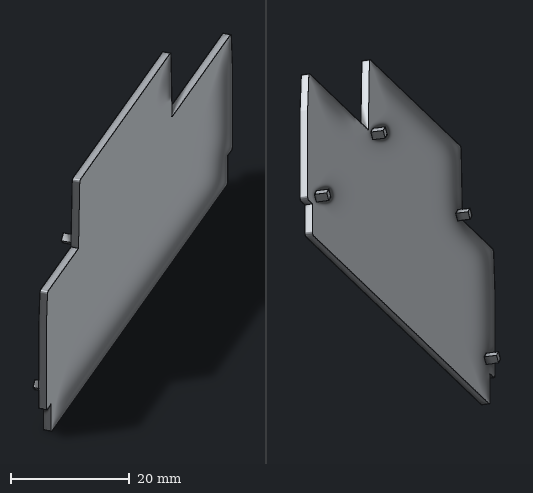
import cadquery as cq

overall_depth = 3.6
plate_thickness = 1.4
overall_length = 92.6
overall_height = 41.5
corner_radius = 0.6

foot_height = 5.6
taper_start_height = 21.6
shoulder_height = 28.5

half_length = overall_length / 2
foot_half_length = 43.9
shoulder_half_length = 45.65
tower_front_base = -30.3
tower_front_top = -29.6
tower_back_base = 16.3
tower_back_top = 15.7

peg_diagonal = 2.0
peg_length = overall_depth - plate_thickness
lower_peg_height = 7.6
upper_peg_height = 28.5
peg_positions = [
    (-41.95, lower_peg_height),
    (41.95, lower_peg_height),
    (-27.9, upper_peg_height),
    (14.1, upper_peg_height),
]


def make_plate():
    """Stepped plate with its outer corners rounded."""
    outline = [
        (-foot_half_length, 0),
        (foot_half_length, 0),
        (foot_half_length, foot_height),
        (half_length, foot_height),
        (half_length, taper_start_height),
        (shoulder_half_length, shoulder_height),
        (tower_back_base, shoulder_height),
        (tower_back_top, overall_height),
        (tower_front_top, overall_height),
        (tower_front_base, shoulder_height),
        (-shoulder_half_length, shoulder_height),
        (-half_length, taper_start_height),
        (-half_length, foot_height),
        (-foot_half_length, foot_height),
    ]
    rounded_corners = [
        (-foot_half_length, 0),
        (foot_half_length, 0),
        (half_length, foot_height),
        (-half_length, foot_height),
        (shoulder_half_length, shoulder_height),
        (-shoulder_half_length, shoulder_height),
        (tower_back_top, overall_height),
        (tower_front_top, overall_height),
    ]
    plate = cq.Workplane("YZ").polyline(outline).close().extrude(plate_thickness)
    corner_edges = cq.Workplane("YZ")
    for y, z in rounded_corners:
        corner = cq.Vector(plate_thickness / 2, y, z)
        corner_edges = corner_edges.add(plate.edges(cq.NearestToPointSelector(corner.toTuple())))
    return plate.newObject(corner_edges.vals()).fillet(corner_radius)


def make_pegs():
    """Diamond-section pegs standing on the -X face of the plate."""
    return (
        cq.Workplane("YZ")
        .pushPoints(peg_positions)
        .polygon(4, peg_diagonal)
        .extrude(-peg_length)
    )


result = make_plate().union(make_pegs())